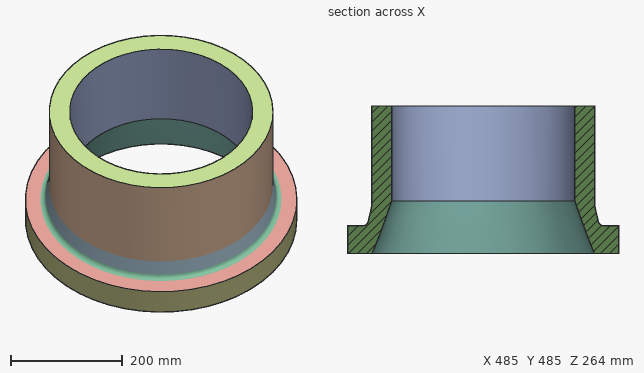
import cadquery as cq
import math

flange_radius = 242.5
flange_thickness = 50.0
total_height = 264.0

pipe_radius = 200.0
bore_radius = 163.5

hub_top = 83.5
taper_degrees = 13.0
root_fillet = 9.5

mouth_radius = 198.5
mouth_height = 94.0

hub_base_radius = pipe_radius + (hub_top - flange_thickness) * math.tan(math.radians(taper_degrees))


def revolved_body():
    """Solid flange, hub and pipe, revolved about Z."""
    profile = (
        cq.Workplane("XZ")
        .lineTo(flange_radius, 0)
        .lineTo(flange_radius, flange_thickness)
        .lineTo(hub_base_radius, flange_thickness)
        .lineTo(pipe_radius, hub_top)
        .lineTo(pipe_radius, total_height)
        .lineTo(0, total_height)
        .close()
    )
    return profile.revolve(360, (0, 0, 0), (0, 1, 0))


def fillet_hub_root(body):
    """Round the inside corner where the hub meets the flange."""
    return body.edges(cq.selectors.RadiusNthSelector(1)).fillet(root_fillet)


def bore():
    """Straight bore with a conical mouth at the flange end."""
    profile = (
        cq.Workplane("XZ")
        .lineTo(mouth_radius, 0)
        .lineTo(bore_radius, mouth_height)
        .lineTo(bore_radius, total_height)
        .lineTo(0, total_height)
        .close()
    )
    return profile.revolve(360, (0, 0, 0), (0, 1, 0))


result = fillet_hub_root(revolved_body()).cut(bore())